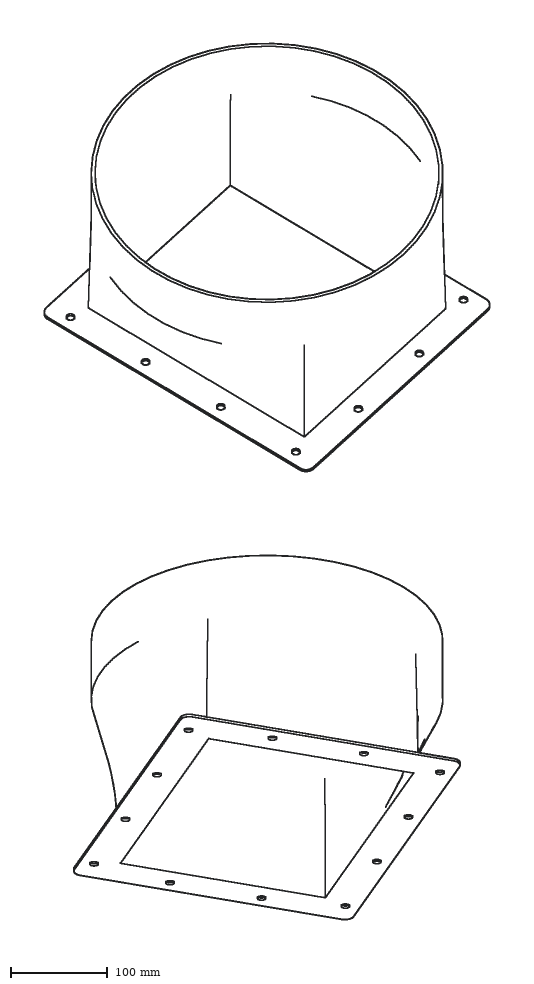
import cadquery as cq
import math

collar_diameter = 364.0
collar_height = 70.0
wall = 4.0
total_height = 210.0

flange_length = 356.0
flange_width = 305.8
flange_thickness = 3.0
flange_corner_radius = 10.0

opening_length = 280.0
opening_width = 224.2

hole_diameter = 8.7
hole_pitch = 100.0
long_row_offset = 137.5
short_row_offset = 162.5
holes_per_long_row = 4

collar_base = total_height - collar_height


def rectangle_wire(length, width, z):
    x, y = length / 2, width / 2
    return cq.Wire.makePolygon(
        [cq.Vector(x, -y, z), cq.Vector(x, y, z), cq.Vector(-x, y, z), cq.Vector(-x, -y, z)],
        close=True,
    )


def circle_wire(radius, corner_angle, z):
    """Circle split into four arcs whose ends line up with the rectangle corners."""

    def point(angle):
        return cq.Vector(radius * math.cos(angle), radius * math.sin(angle), z)

    ends = [-corner_angle, corner_angle, math.pi - corner_angle, math.pi + corner_angle]
    arcs = []
    for i, start in enumerate(ends):
        middle = i * math.pi / 2
        arcs.append(cq.Edge.makeThreePointArc(point(start), point(middle), point(2 * middle - start)))
    return cq.Wire.assembleEdges(arcs)


def transition(length, width, diameter):
    """Solid whose four ruled sides run from a rectangle up to a circle."""
    corner_angle = math.atan2(opening_width, opening_length)
    lower = rectangle_wire(length, width, flange_thickness)
    upper = circle_wire(diameter / 2, corner_angle, collar_base)
    return cq.Workplane(obj=cq.Solid.makeLoft([lower, upper], True))


def collar_cylinder(diameter):
    return cq.Workplane().workplane(offset=collar_base).circle(diameter / 2).extrude(collar_height)


def duct(inset):
    """Transition and collar, with every outside face moved in by the inset."""
    growth = 2 * (wall - inset)
    diameter = collar_diameter - 2 * inset
    body = transition(opening_length + growth, opening_width + growth, diameter)
    return body.union(collar_cylinder(diameter))


def bolt_positions():
    row_start = -hole_pitch * (holes_per_long_row - 1) / 2
    positions = []
    for side in (-1, 1):
        for i in range(holes_per_long_row):
            positions.append((row_start + i * hole_pitch, side * long_row_offset))
        for end in (-1, 1):
            positions.append((side * short_row_offset, end * hole_pitch / 2))
    return positions


def base_flange():
    plate = cq.Workplane().rect(flange_length, flange_width).extrude(flange_thickness)
    plate = plate.edges("|Z").fillet(flange_corner_radius)
    holes = cq.Workplane().pushPoints(bolt_positions()).circle(hole_diameter / 2).extrude(flange_thickness)
    opening = cq.Workplane().rect(opening_length, opening_width).extrude(flange_thickness)
    return plate.cut(holes).cut(opening)


shell = duct(0).cut(duct(wall))
result = base_flange().union(shell)